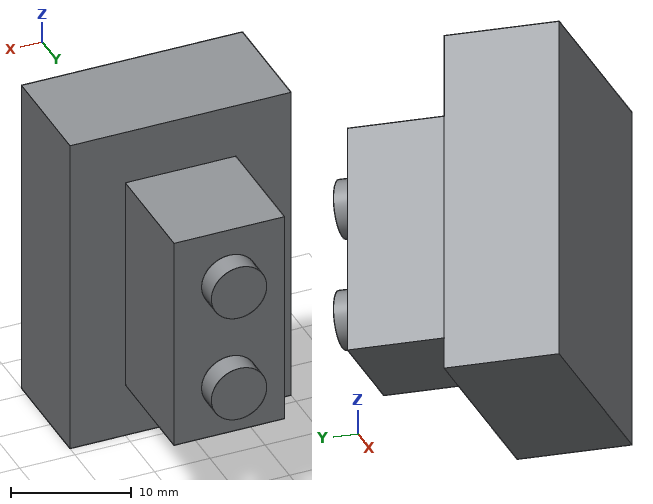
import cadquery as cq

plate_width = 20.0
plate_depth = 10.0
plate_height = 30.0

block_width = plate_width / 2
block_depth = plate_depth
block_height = 20.0
stud_diameter = 5.0
stud_length = 2.0
stud_spacing = block_height / 2

block_front = plate_depth
block_back = block_front + block_depth


def make_plate():
    """Plain rectangular plate, centred in X and Z."""
    return cq.Workplane("XY").box(plate_width, plate_depth, plate_height, centered=(True, False, True))


def make_stud(height):
    """Round stud standing on the block's back face at the given Z height."""
    return cq.Workplane(
        cq.Solid.makeCylinder(
            stud_diameter / 2,
            stud_length,
            cq.Vector(0, block_back, height),
            cq.Vector(0, 1, 0),
        )
    )


def make_studded_block():
    """Rectangular block against the plate's back face, with its two studs."""
    block = (
        cq.Workplane("XY")
        .box(block_width, block_depth, block_height, centered=(True, False, True))
        .translate((0, block_front, 0))
    )
    for side in (-1, 1):
        block = block.union(make_stud(side * stud_spacing / 2))
    return block


plate = make_plate()
studded_block = make_studded_block()

result = cq.Compound.makeCompound([plate.val(), *studded_block.solids().vals()])